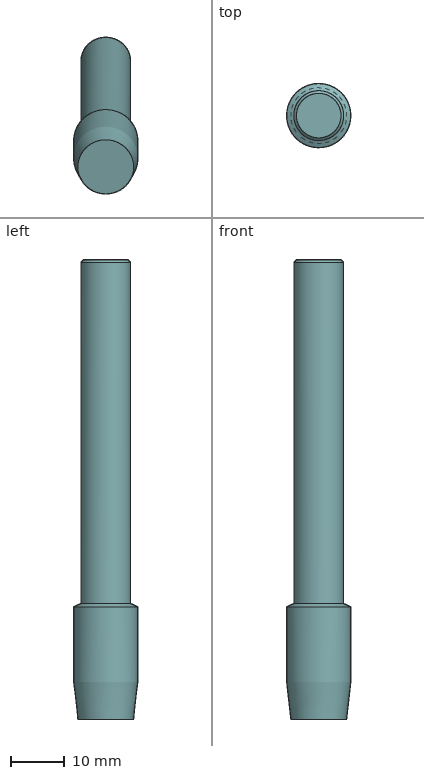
import cadquery as cq

total_height = 85.7
plug_height = 21.65
rod_length = total_height - plug_height

collar_radius = 6.0
tip_radius = 5.2
tip_height = 7.0
shoulder_height = 0.65

rod_radius = 4.65
rod_chamfer = 0.5


def make_plug():
    """Solid plug revolved around Z, its shoulder narrowing to the rod radius."""
    profile = (
        cq.Workplane("XZ")
        .lineTo(tip_radius, 0)
        .lineTo(collar_radius, tip_height)
        .lineTo(collar_radius, plug_height - shoulder_height)
        .lineTo(rod_radius, plug_height)
        .lineTo(0, plug_height)
        .close()
    )
    return profile.revolve(360, (0, 0, 0), (0, 1, 0))


def make_rod():
    """Plain round rod seated on the plug, chamfered at its free end."""
    rod = cq.Workplane("XY").workplane(offset=plug_height).circle(rod_radius).extrude(rod_length)
    return rod.faces(">Z").chamfer(rod_chamfer)


plug = make_plug()
rod = make_rod()

result = cq.Compound.makeCompound([plug.val(), rod.val()])